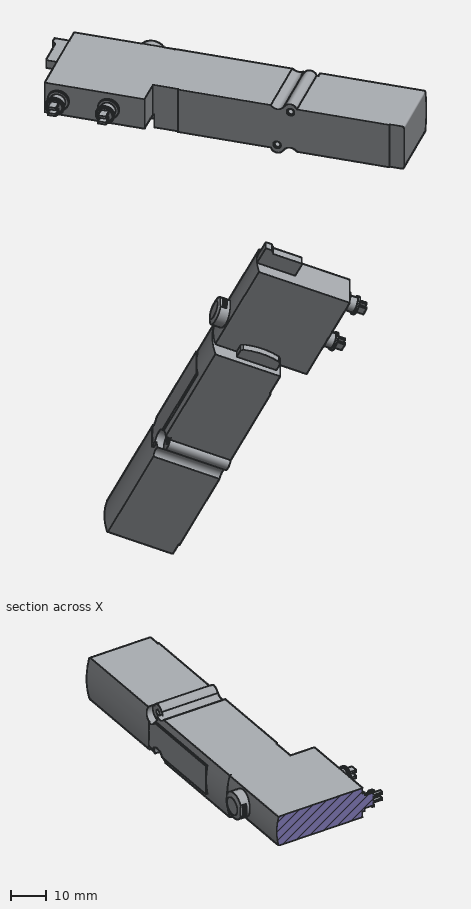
import cadquery as cq
import math

LENGTH = 108.5
KNOB_TIP_Y = 38.2

BODY_HALF_HEIGHT = 14.0 / 2
BODY_LEFT_X = 35.5
BODY_FRONT_Y = 14.4
BODY_END_RADIUS = 0.8
FRONT_PAD_Y = 14.1
FRONT_PAD_LEFT_X = 42.5
FRONT_PAD_RIGHT_X = 104.3

BLOCK_LEFT_X = 6.0
BLOCK_RIGHT_X = 35.2
BLOCK_FRONT_Y = 6.5
BLOCK_HEIGHT = 9.8
BLOCK_BOTTOM_Z = BODY_HALF_HEIGHT - BLOCK_HEIGHT
BLOCK_CENTER_Z = (BODY_HALF_HEIGHT + BLOCK_BOTTOM_Z) / 2

BEVEL_START_Y = 33.7
BEVEL_END_Y = 34.3
BODY_BEVEL_DROP = 0.1
BLOCK_BEVEL_DROP = 0.16
BODY_CROWN_Y = 35.3
BLOCK_CROWN_Y = 34.9

LABEL_LEFT_X = 46.1
LABEL_RIGHT_X = 76.0
LABEL_HALF_HEIGHT = 4.7
LABEL_BACK_Y = 35.4

RIB_X = 75.4
GROOVE_X = 71.5
TURN_CENTER_X = (RIB_X + GROOVE_X) / 2
RIB_RADIUS = 3.9 / 2
RIB_TOP_Z = 8.4
RIB_CENTER_Z = RIB_TOP_Z - RIB_RADIUS
GROOVE_RADIUS = 4.5 / 2
GROOVE_CENTER_Z = 8.2
SCREW_Z = 5.8
SCREW_HOLE_DIAMETER = 1.6
SCREW_MOUTH_DIAMETER = 2.3
HEAD_DIAMETER = 5.3
HEAD_SEAT_Y = 32.7

TAB_HALF_HEIGHT = 1.3
TAB_BACK_Y = 34.9
TAB_FRONT_Y = 23.2
TAB_STEM_X = 1.1
TAB_HOOK_BACK_Y = 33.1
TAB_HOOK_FRONT_Y = 32.1
TAB_CORNER_RADIUS = 0.4

TONGUE_TIP_X = 31.6
TONGUE_SHOULDER_X = 32.3
TONGUE_SIDE_X = 32.9
TONGUE_CENTER_Y = 21.7
TONGUE_HALF_WIDTH = 6.1
TONGUE_BEVEL = 0.7
TONGUE_BOTTOM_Z = -5.0

CONNECTOR_X = (10.1, 24.7)
FLANGE_DIAMETER = 6.1
FLANGE_FRONT_Y = 5.8
SHAFT_DIAMETER = 4.5
CAP_DIAMETER = 5.3
CAP_BACK_Y = 3.3
CAP_FRONT_Y = 2.6
CAP_RECESS_DEPTH = 0.3
PIN_WIDTH = 2.3
PIN_THICKNESS = 0.8
PIN_SPACING = 2.0

KNOB_X = 28.0
KNOB_DIAMETER = 8.1
KNOB_TIP_DIAMETER = 5.3
KNOB_TAPER_LENGTH = 0.5
KNOB_FLAT_OFFSET = 3.6
KNOB_OUTER_NOTCH_Y = 37.0
KNOB_INNER_NOTCH_BACK_Y = 36.6
KNOB_INNER_NOTCH_FRONT_Y = 35.9

OVERLAP = 0.5


def box(x_range, y_range, z_range):
    """Axis-aligned box between the given coordinate pairs."""
    size = [high - low for low, high in (x_range, y_range, z_range)]
    corner = (x_range[0], y_range[0], z_range[0])
    return cq.Workplane("XY").box(*size, centered=False).translate(corner)


def cylinder_y(diameter, x, z, front_y, back_y):
    """Cylinder along Y between two Y positions."""
    circle = cq.Workplane("XZ", origin=(x, back_y, z)).circle(diameter / 2)
    return circle.extrude(back_y - front_y)


def crowned_bar(left_x, right_x, front_y, bottom_z, crown_y, bevel_drop):
    """Bar along X with beveled back edges and an arched back face."""
    top_z = BODY_HALF_HEIGHT
    return (
        cq.Workplane("YZ", origin=(left_x, 0, 0))
        .moveTo(front_y, bottom_z)
        .lineTo(BEVEL_START_Y, bottom_z)
        .lineTo(BEVEL_END_Y, bottom_z + bevel_drop)
        .threePointArc((crown_y, (top_z + bottom_z) / 2), (BEVEL_END_Y, top_z - bevel_drop))
        .lineTo(BEVEL_START_Y, top_z)
        .lineTo(front_y, top_z)
        .close()
        .extrude(right_x - left_x)
    )


def half_turn(shape):
    """Copy of a shape turned 180 degrees about the Y axis midway between rib and groove."""
    return shape.rotate((TURN_CENTER_X, 0, 0), (TURN_CENTER_X, 1, 0), 180)


def make_body():
    body = crowned_bar(
        BODY_LEFT_X, LENGTH, BODY_FRONT_Y, -BODY_HALF_HEIGHT, BODY_CROWN_Y, BODY_BEVEL_DROP
    )
    rounded_end = (
        box((BODY_LEFT_X, LENGTH), (0, KNOB_TIP_Y), (-BODY_HALF_HEIGHT, BODY_HALF_HEIGHT))
        .edges("|Y and >X")
        .fillet(BODY_END_RADIUS)
    )
    body = body.intersect(rounded_end)
    pad = box(
        (FRONT_PAD_LEFT_X, FRONT_PAD_RIGHT_X),
        (FRONT_PAD_Y, BODY_FRONT_Y + OVERLAP),
        (-BODY_HALF_HEIGHT, BODY_HALF_HEIGHT),
    )
    label = box(
        (LABEL_LEFT_X, LABEL_RIGHT_X),
        (BEVEL_START_Y, LABEL_BACK_Y),
        (-LABEL_HALF_HEIGHT, LABEL_HALF_HEIGHT),
    )
    return body.union(pad).union(label)


def make_rib():
    """Round rib whose left flank runs straight into the groove along their common tangent."""
    dx = GROOVE_X - RIB_X
    dz = GROOVE_CENTER_Z - RIB_CENTER_Z
    gap_angle = math.acos((RIB_RADIUS + GROOVE_RADIUS) / math.hypot(dx, dz))
    angle = math.atan2(dz, dx) - gap_angle
    nx, nz = math.cos(angle), math.sin(angle)
    flank_top = (RIB_X + RIB_RADIUS * nx, RIB_CENTER_Z + RIB_RADIUS * nz)
    flank_foot = (GROOVE_X - GROOVE_RADIUS * nx, GROOVE_CENTER_Z - GROOVE_RADIUS * nz)
    flank = (
        cq.Workplane("XZ", origin=(0, BEVEL_START_Y, 0))
        .polyline([flank_top, flank_foot, (RIB_X, flank_foot[1]), (RIB_X, RIB_CENTER_Z)])
        .close()
        .extrude(BEVEL_START_Y - FRONT_PAD_Y)
    )
    return cylinder_y(2 * RIB_RADIUS, RIB_X, RIB_CENTER_Z, FRONT_PAD_Y, BEVEL_START_Y).union(flank)


def add_screw_ribs(body):
    groove = cylinder_y(2 * GROOVE_RADIUS, GROOVE_X, GROOVE_CENTER_Z, 0, KNOB_TIP_Y)
    rib = make_rib()
    hole = cylinder_y(SCREW_HOLE_DIAMETER, RIB_X, SCREW_Z, 0, KNOB_TIP_Y)
    mouth_depth = (SCREW_MOUTH_DIAMETER - SCREW_HOLE_DIAMETER) / 2
    mouth = (
        cq.Workplane("XZ", origin=(RIB_X, FRONT_PAD_Y, SCREW_Z))
        .circle(SCREW_MOUTH_DIAMETER / 2)
        .workplane(offset=-mouth_depth)
        .circle(SCREW_HOLE_DIAMETER / 2)
        .loft()
    )
    head_seat = cylinder_y(HEAD_DIAMETER, RIB_X, SCREW_Z, HEAD_SEAT_Y, KNOB_TIP_Y)
    screw_cut = hole.union(mouth).union(head_seat)
    for turn in (lambda shape: shape, half_turn):
        body = body.cut(turn(groove)).union(turn(rib)).cut(turn(screw_cut))
    return body


def make_block():
    block = crowned_bar(
        BLOCK_LEFT_X,
        BODY_LEFT_X + OVERLAP,
        BODY_FRONT_Y,
        BLOCK_BOTTOM_Z,
        BLOCK_CROWN_Y,
        BLOCK_BEVEL_DROP,
    )
    front = box(
        (BLOCK_LEFT_X, BLOCK_RIGHT_X),
        (BLOCK_FRONT_Y, BODY_FRONT_Y + OVERLAP),
        (BLOCK_BOTTOM_Z, BODY_HALF_HEIGHT),
    )
    return block.union(front)


def make_tab():
    root_x = BLOCK_LEFT_X + OVERLAP
    outline = [
        (0, TAB_BACK_Y),
        (0, TAB_HOOK_BACK_Y),
        (TAB_STEM_X, TAB_HOOK_FRONT_Y),
        (TAB_STEM_X, TAB_FRONT_Y),
        (root_x, TAB_FRONT_Y),
        (root_x, BEVEL_START_Y),
        (BLOCK_LEFT_X, TAB_BACK_Y),
    ]
    return (
        cq.Workplane("XY", origin=(0, 0, BLOCK_CENTER_Z - TAB_HALF_HEIGHT))
        .polyline(outline)
        .close()
        .extrude(2 * TAB_HALF_HEIGHT)
        .edges(cq.selectors.NearestToPointSelector((TAB_STEM_X, TAB_FRONT_Y, BLOCK_CENTER_Z)))
        .fillet(TAB_CORNER_RADIUS)
    )


def make_tongue():
    root_x = BODY_LEFT_X + OVERLAP
    front_y = TONGUE_CENTER_Y - TONGUE_HALF_WIDTH
    back_y = TONGUE_CENTER_Y + TONGUE_HALF_WIDTH
    return (
        cq.Workplane("XY", origin=(0, 0, TONGUE_BOTTOM_Z))
        .moveTo(root_x, front_y)
        .lineTo(TONGUE_SIDE_X, front_y)
        .lineTo(TONGUE_SHOULDER_X, front_y + TONGUE_BEVEL)
        .threePointArc(
            (TONGUE_TIP_X, TONGUE_CENTER_Y), (TONGUE_SHOULDER_X, back_y - TONGUE_BEVEL)
        )
        .lineTo(TONGUE_SIDE_X, back_y)
        .lineTo(root_x, back_y)
        .close()
        .extrude(BLOCK_BOTTOM_Z + OVERLAP - TONGUE_BOTTOM_Z)
    )


def make_connector(x):
    z = BLOCK_CENTER_Z
    connector = cylinder_y(FLANGE_DIAMETER, x, z, FLANGE_FRONT_Y, BLOCK_FRONT_Y + OVERLAP)
    connector = connector.union(cylinder_y(SHAFT_DIAMETER, x, z, CAP_FRONT_Y, BLOCK_FRONT_Y))
    connector = connector.union(cylinder_y(CAP_DIAMETER, x, z, CAP_FRONT_Y, CAP_BACK_Y))
    recess_floor_y = CAP_FRONT_Y + CAP_RECESS_DEPTH
    connector = connector.cut(cylinder_y(SHAFT_DIAMETER, x, z, CAP_FRONT_Y, recess_floor_y))
    for side in (-1, 1):
        pin_z = z + side * PIN_SPACING / 2
        pin = box(
            (x - PIN_WIDTH / 2, x + PIN_WIDTH / 2),
            (0, CAP_BACK_Y),
            (pin_z - PIN_THICKNESS / 2, pin_z + PIN_THICKNESS / 2),
        )
        connector = connector.union(pin)
    return connector


def make_knob():
    """Tapered round knob with two notches in each side, separated by a thin rim."""
    radius = KNOB_DIAMETER / 2
    knob = (
        cq.Workplane("XY", origin=(KNOB_X, 0, BLOCK_CENTER_Z))
        .moveTo(0, BEVEL_START_Y)
        .lineTo(radius, BEVEL_START_Y)
        .lineTo(radius, KNOB_TIP_Y - KNOB_TAPER_LENGTH)
        .lineTo(KNOB_TIP_DIAMETER / 2, KNOB_TIP_Y)
        .lineTo(0, KNOB_TIP_Y)
        .close()
        .revolve(360, (0, 0, 0), (0, 1, 0))
    )
    notch_spans = (
        (KNOB_OUTER_NOTCH_Y, KNOB_TIP_Y),
        (KNOB_INNER_NOTCH_FRONT_Y, KNOB_INNER_NOTCH_BACK_Y),
    )
    for span in notch_spans:
        ring = cylinder_y(2 * KNOB_DIAMETER, KNOB_X, BLOCK_CENTER_Z, *span)
        kept = box(
            (KNOB_X - KNOB_FLAT_OFFSET, KNOB_X + KNOB_FLAT_OFFSET),
            span,
            (BLOCK_CENTER_Z - radius, BLOCK_CENTER_Z + radius),
        )
        knob = knob.cut(ring.cut(kept))
    return knob


result = add_screw_ribs(make_body())
result = result.union(make_block()).union(make_tab()).union(make_tongue()).union(make_knob())
for connector_x in CONNECTOR_X:
    result = result.union(make_connector(connector_x))